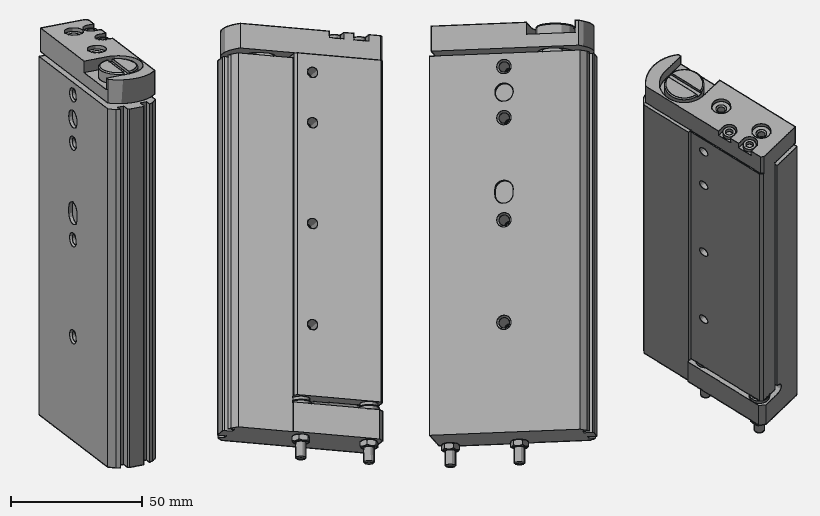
import cadquery as cq


housing_height = 147.9
housing_depth = 20.5
housing_flat_width = 58.4
housing_axis_y = housing_depth / 2
shoulder_x, shoulder_y = 60.6, 2.4
lip_x, lip_y = 61.3, 4.0
groove_floor_x = 58.7
rib_x = 62.5
rib_half_width = 3.5
rib_bevel = 0.5
ledge_y = 12.2
pocket_width = 36.6
stop_block_height = 11.6
stop_block_back_y = 21.0
stop_block_bevel = 2.0
relief_radius = 2.5

hole_column_x = 28.9
mount_hole_heights = [42.9, 82.9, 122.7, 142.6]
mount_hole_diameter = 4.0
mount_mouth_diameter = 5.5
dowel_diameter = 7.1
dowel_depth = 1.5
dowel_hole_z = 132.7
dowel_slot_z = 93.9
dowel_slot_length = 9.0

table_left = 0.5
table_right = 36.0
plate_front_y = 12.8
plate_back_y = 21.0
plate_bottom_z = 14.7
plate_bevel = 1.0
head_gap = 2.0
head_height = 9.8
head_front_y = 0.42
head_back_y = 20.5
head_flat_right = 57.7
head_right = 61.6
head_bottom_z = housing_height + head_gap
head_top_z = head_bottom_z + head_height
guide_left, guide_step, guide_right = 8.1, 20.0, 25.8
guide_depth = 1.4
guide_step_depth = 0.7

screw_x = 47.0
screw_recess_diameter = 18.9
screw_recess_depth = 4.7
screw_diameter = 15.0
screw_drop = 0.2
screw_bevel = 0.5
screw_slot_width = 2.2
screw_slot_depth = 1.2
screw_nut_corners = 15.0

fastener_xs = [9.3, hole_column_x]
fastener_y = housing_axis_y
fastener_mouth_diameter = 7.3
fastener_mouth_depth = 1.5
fastener_cone_diameter = 4.0
fastener_hole_diameter = 2.9
fastener_hole_depth = 5.0
notches = [(9.1, 6.0), (19.0, 5.7)]
notch_y = 17.5
notch_depth = 2.5
set_screw_diameter = 4.9
set_screw_height = 1.5
set_screw_socket_diameter = 2.9

total_height = 168.8
longest_bolt = total_height - head_top_z
bolt_length_difference = 0.3
stop_bolts = [(4.9, 16.9, longest_bolt - bolt_length_difference), (31.9, 15.9, longest_bolt)]
bolt_diameter = 4.0
bolt_bevel = 0.5
bolt_nut_corners = 7.1
bolt_nut_height = 2.7
nut_bevel = 0.5
nut_bevel_width = 0.7
flange_diameter = 8.0
flange_height = 1.4
neck_diameter = 5.7
neck_height = 0.5
bumper_diameter = 7.0


def cylinder(diameter, x, y, bottom, top):
    return cq.Workplane("XY", origin=(x, y, bottom)).circle(diameter / 2).extrude(top - bottom)


def hexagon(corners, x, y, bottom, top):
    return cq.Workplane("XY", origin=(x, y, bottom)).polygon(6, corners).extrude(top - bottom)


def nut(corners, x, y, bottom, top):
    """Hexagon nut with its corners turned down at both ends."""
    turned = cylinder(corners, x, y, bottom, top).edges().chamfer(nut_bevel, nut_bevel_width)
    return hexagon(corners, x, y, bottom, top).intersect(turned)


def box(x0, x1, y0, y1, z0, z1):
    return cq.Workplane("XY").box(x1 - x0, y1 - y0, z1 - z0, centered=False).translate((x0, y0, z0))


def along_y(diameter, z, front, back):
    """Cylinder along Y on the column of mounting holes."""
    plane = cq.Workplane("XZ", origin=(hole_column_x, front, z))
    return plane.circle(diameter / 2).extrude(front - back)


def countersink(mouth, outer, inner):
    """Cone that narrows at 45 degrees below the mouth plane."""
    depth = (outer - inner) / 2
    return mouth.circle(outer / 2).workplane(offset=-depth).circle(inner / 2).loft(ruled=True)


def housing_profile():
    lower = [
        (0, 0),
        (housing_flat_width, 0),
        (shoulder_x, shoulder_y),
        (lip_x, lip_y),
        (groove_floor_x, lip_y),
        (groove_floor_x, housing_axis_y - rib_half_width),
        (rib_x - rib_bevel, housing_axis_y - rib_half_width),
        (rib_x, housing_axis_y - rib_half_width + rib_bevel),
    ]
    upper = [(x, housing_depth - y) for x, y in reversed(lower)]
    return cq.Workplane("XY").polyline(lower + upper).close()


def mounting_holes():
    holes = along_y(dowel_diameter, dowel_hole_z, 0, dowel_depth)
    slot = cq.Workplane("XZ", origin=(hole_column_x, 0, dowel_slot_z))
    holes = holes.union(slot.slot2D(dowel_slot_length, dowel_diameter, 90).extrude(-dowel_depth))
    for z in mount_hole_heights:
        holes = holes.union(along_y(mount_hole_diameter, z, 0, plate_back_y))
        mouth = cq.Workplane("XZ", origin=(hole_column_x, 0, z))
        holes = holes.union(countersink(mouth, mount_mouth_diameter, mount_hole_diameter))
    return holes


def stop_bolt(x, y, length):
    flange_top = stop_block_height + flange_height
    neck_top = flange_top + neck_height
    shank = cylinder(bolt_diameter, x, y, -length, stop_block_height).faces("<Z").chamfer(bolt_bevel)
    return (
        shank.union(nut(bolt_nut_corners, x, y, -bolt_nut_height, 0))
        .union(cylinder(flange_diameter, x, y, stop_block_height, flange_top))
        .union(cylinder(neck_diameter, x, y, flange_top, neck_top))
        .union(cylinder(bumper_diameter, x, y, neck_top, plate_bottom_z))
    )


def make_housing():
    body = housing_profile().extrude(housing_height)
    body = body.union(box(0, pocket_width, 0, stop_block_back_y, 0, stop_block_height))
    body = body.cut(box(0, pocket_width, ledge_y, housing_depth, stop_block_height, housing_height))
    body = body.edges("|Z and <X and >Y").chamfer(stop_block_bevel)
    relief = cq.Workplane("YZ", origin=(0, ledge_y, stop_block_height + relief_radius))
    body = body.cut(relief.circle(relief_radius).extrude(pocket_width))
    body = body.cut(mounting_holes())
    for x, y, length in stop_bolts:
        body = body.union(stop_bolt(x, y, length))
    return body


def table_plate():
    plate = box(table_left, table_right, plate_front_y, plate_back_y, plate_bottom_z, head_bottom_z)
    plate = plate.edges("|Z and >Y").chamfer(plate_bevel)
    for right, depth in [(guide_step, guide_depth), (guide_right, guide_step_depth)]:
        back = plate_front_y + depth
        plate = plate.cut(box(guide_left, right, plate_front_y, back, plate_bottom_z, head_bottom_z))
    for z in mount_hole_heights:
        plate = plate.cut(along_y(mount_hole_diameter, z, 0, plate_back_y))
    return plate


def head_block():
    end = (head_right, (head_front_y + head_back_y) / 2)
    head = (
        cq.Workplane("XY", origin=(0, 0, head_bottom_z))
        .moveTo(table_left, head_front_y)
        .lineTo(head_flat_right, head_front_y)
        .threePointArc(end, (head_flat_right, head_back_y))
        .lineTo(table_left, head_back_y)
        .close()
        .extrude(head_height)
    )
    return head.edges("|Z and <X and >Y").chamfer(plate_bevel)


def screw_recess():
    radius = screw_recess_diameter / 2
    floor = head_top_z - screw_recess_depth
    mouth = box(screw_x - radius, screw_x + radius, 0, housing_axis_y, floor, head_top_z)
    return mouth.union(cylinder(screw_recess_diameter, screw_x, housing_axis_y, floor, head_top_z))


def adjusting_screw():
    top = head_top_z - screw_drop
    radius = screw_diameter / 2
    half_slot = screw_slot_width / 2
    screw = cylinder(screw_diameter, screw_x, housing_axis_y, head_top_z - screw_recess_depth, top)
    screw = screw.faces(">Z").chamfer(screw_bevel)
    slot = box(screw_x - radius, screw_x + radius, housing_axis_y - half_slot,
               housing_axis_y + half_slot, top - screw_slot_depth, top)
    screw_nut = nut(screw_nut_corners, screw_x, housing_axis_y, housing_height, head_bottom_z)
    return screw.cut(slot).union(screw_nut)


def fastener_hole(x):
    mouth_floor = head_top_z - fastener_mouth_depth
    hole = cylinder(fastener_mouth_diameter, x, fastener_y, mouth_floor, head_top_z)
    cone_mouth = cq.Workplane("XY", origin=(x, fastener_y, mouth_floor))
    hole = hole.union(countersink(cone_mouth, fastener_cone_diameter, fastener_hole_diameter))
    hole_floor = head_top_z - fastener_hole_depth
    return hole.union(cylinder(fastener_hole_diameter, x, fastener_y, hole_floor, head_top_z))


def notch(x, width):
    floor = head_top_z - notch_depth
    opening = box(x - width / 2, x + width / 2, notch_y, plate_back_y, floor, head_top_z)
    return opening.union(cylinder(width, x, notch_y, floor, head_top_z))


def set_screw(x):
    floor = head_top_z - notch_depth
    top = floor + set_screw_height
    screw = cylinder(set_screw_diameter, x, notch_y, floor, top)
    return screw.cut(cylinder(set_screw_socket_diameter, x, notch_y, floor, top))


def make_table():
    table = head_block().union(table_plate())
    table = table.cut(screw_recess()).union(adjusting_screw())
    for x in fastener_xs:
        table = table.cut(fastener_hole(x))
    for x, width in notches:
        table = table.cut(notch(x, width)).union(set_screw(x))
    return table


housing = make_housing()
table = make_table()
result = cq.Compound.makeCompound([housing.val(), table.val()])